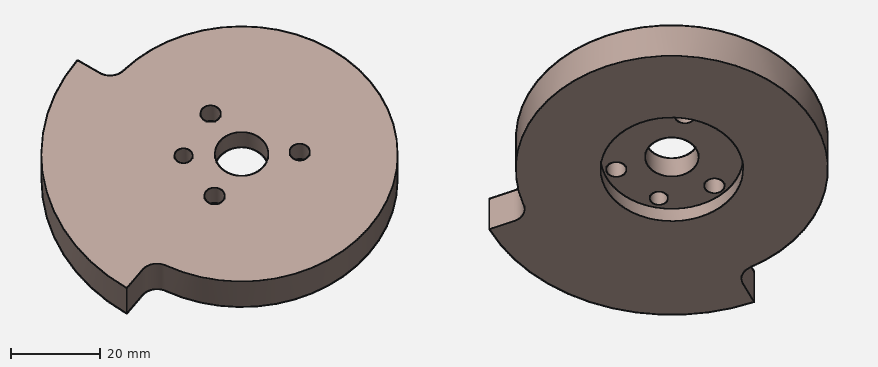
import cadquery as cq
import math

thickness = 10.0
disc_radius = 35.0
sector_radius = 44.9
sector_start = 202.8
sector_span = 90.0
root_fillet = 4.0
bore_diameter = 12.0
recess_diameter = 32.0
recess_depth = 4.0
bolt_circle_radius = 13.0
bolt_hole_diameter = 4.55
bolt_hole_angles = (60, 180, 300)
pin_hole_diameter = 4.1
pin_hole_angle = 240


def polar(radius, angle):
    """Point at a radius and an angle in degrees from +X."""
    return (radius * math.cos(math.radians(angle)), radius * math.sin(math.radians(angle)))


def make_cam():
    """Round disc with a raised sector, its radial flanks blended into the disc."""
    sector_end = sector_start + sector_span
    sector_middle = sector_start + sector_span / 2
    blend_angle = math.degrees(math.asin(root_fillet / (disc_radius + root_fillet)))
    flank_root = math.sqrt((disc_radius + root_fillet) ** 2 - root_fillet ** 2)
    disc_start = sector_end + blend_angle
    disc_end = sector_start - blend_angle
    return (
        cq.Workplane("XY")
        .moveTo(*polar(flank_root, sector_start))
        .lineTo(*polar(sector_radius, sector_start))
        .threePointArc(polar(sector_radius, sector_middle), polar(sector_radius, sector_end))
        .lineTo(*polar(flank_root, sector_end))
        .tangentArcPoint(polar(disc_radius, disc_start), relative=False)
        .threePointArc(polar(disc_radius, sector_middle - 180), polar(disc_radius, disc_end))
        .tangentArcPoint(polar(flank_root, sector_start), relative=False)
        .close()
        .extrude(thickness)
    )


def hole_cutter(diameter, centers, depth=thickness):
    """Cylinders rising from the bottom face, through the full thickness by default."""
    return cq.Workplane("XY").pushPoints(centers).circle(diameter / 2).extrude(depth)


bolt_centers = [polar(bolt_circle_radius, angle) for angle in bolt_hole_angles]
pin_center = polar(bolt_circle_radius, pin_hole_angle)

result = (
    make_cam()
    .cut(hole_cutter(recess_diameter, [(0, 0)], recess_depth))
    .cut(hole_cutter(bore_diameter, [(0, 0)]))
    .cut(hole_cutter(bolt_hole_diameter, bolt_centers))
    .cut(hole_cutter(pin_hole_diameter, [pin_center]))
)